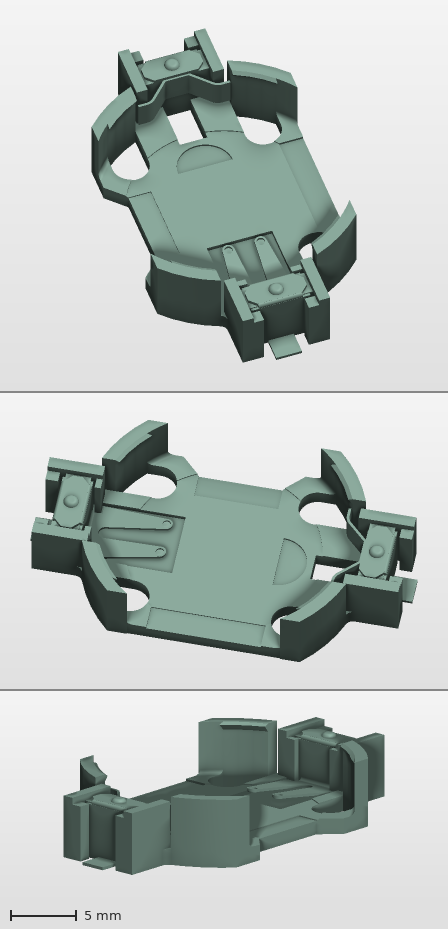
import cadquery as cq
import math

length = 29.7
width = 16.1
height = 5.4

rim_top = 1.25
floor_top = 1.15
ledge_top = 1.07
spring_pocket_x = 3.5
spring_pocket_floor = 0.83
polarity_mark_floor = 1.0
cell_radius = 7.52
back_edge_y = 8.0
front_edge_y = -6.57
front_foot_x = 4.75
front_ledge_half = 3.27
front_ledge_y = -4.75
back_ledge_half = 4.45
back_ledge_y = 6.03
polarity_mark_x = -4.22
polarity_mark_radius = 2.2

wall_inner_radius = 10.0
wall_outer_radius = 11.0
wall_end_y = 3.9
wall_foot_fillet = 0.35
lip_depth = 0.3
lip_ridge_drop = 0.18
lip_height = 0.62

window_radius = 1.45
window_tip_x = 4.75
window_y = wall_end_y + window_radius

housing_outer_x = 14.25
housing_inner_x = 9.95
arm_outer_y = 3.55
arm_inner_y = 2.65
arm_top = 4.9
block_outer_x = 12.8
block_inner_x = 10.85
block_top = 4.37
hook_inner_y = 1.8
outer_hook_x = 13.28
inner_hook_x = 10.43
gusset_x = 10.85

sheet = 0.2
bend_radius = 0.27
cap_top = block_top + bend_radius
cap_half_width = 2.38
cap_chamfer = 0.6
leg_top = 4.28
tab_width = 2.08
tab_thickness = 0.25
rivet_x = 11.88
rivet_radius = 0.6
rivet_flat_radius = 0.2
rivet_dome_radius = 0.35
rivet_height = 0.27
outlet_inner_x = -6.92
outlet_width = 2.23

leaf_tip_x = 4.72
leaf_tip_y = 1.3
leaf_tip_radius = 0.48
leaf_tip_top = 1.85
leaf_root_x = 9.8
leaf_root_top = 1.07
leaf_bend_radius = 0.25
leaf_root_half = 2.4
leaf_neck_half = 1.75
leaf_slot_end_x = 9.27
leaf_slot_radius = 0.5
dimple_radius = 0.33
dimple_wall = 0.1
dimple_depth = 0.2

strip_thickness = 0.15
wing_bottom = 2.25
wing_end_y = 3.7
wing_x = -9.05
wing_bend_y = 3.03
wing_bend_radius = 0.9
wing_bend_angle = math.radians(46)


def block(x0, x1, y0, y1, z0, z1):
    """Axis-aligned box between two opposite corners."""
    return cq.Workplane("XY").box(x1 - x0, y1 - y0, z1 - z0, centered=False).translate((x0, y0, z0))


def cylinder(radius, z0, z1, x=0.0, y=0.0):
    return cq.Workplane("XY", origin=(x, y, z0)).circle(radius).extrude(z1 - z0)


def mirrored_y(shape):
    return shape.union(shape.mirror("XZ"))


def four_corners(shape):
    """Copy a shape from the +X +Y corner to all four corners."""
    return mirrored_y(shape.union(shape.mirror("YZ")))


def make_base():
    """Round floor trimmed to straight edges, extended to both end blocks."""
    base = cylinder(wall_outer_radius, 0, rim_top)
    base = base.intersect(block(-length, length, -width / 2, back_edge_y, 0, rim_top))
    relief_depth = front_edge_y + width / 2
    front_relief = (
        cq.Workplane("XY")
        .polyline([
            (-front_foot_x, -width / 2),
            (front_foot_x, -width / 2),
            (front_foot_x - relief_depth, front_edge_y),
            (relief_depth - front_foot_x, front_edge_y),
        ])
        .close()
        .extrude(rim_top)
    )
    link = block(-block_inner_x, block_inner_x, -arm_outer_y, arm_outer_y, 0, rim_top)
    return base.cut(front_relief).union(link)


def make_wall():
    """One corner wall with its foot fillet, in the +X +Y corner."""
    corner = block(0, length, wall_end_y, width / 2, 0, height)
    half_section = (
        cq.Workplane("XZ")
        .moveTo(wall_outer_radius, 0)
        .lineTo(wall_outer_radius, height)
        .lineTo(wall_inner_radius, height)
        .lineTo(wall_inner_radius, rim_top + wall_foot_fillet)
        .radiusArc((wall_inner_radius - wall_foot_fillet, rim_top), wall_foot_fillet)
        .lineTo(wall_inner_radius - wall_foot_fillet, 0)
        .close()
    )
    return half_section.revolve(360, (0, 0, 0), (0, 1, 0)).intersect(corner)


def make_lip():
    """Snap lip above a corner window, on the inner face of the wall."""
    lip = (
        cq.Workplane("XZ")
        .polyline([
            (wall_inner_radius, height),
            (wall_inner_radius - lip_depth, height - lip_ridge_drop),
            (wall_inner_radius, height - lip_height),
        ])
        .close()
        .revolve(360, (0, 0, 0), (0, 1, 0))
    )
    return lip.intersect(block(0, length, wall_end_y, wall_end_y + 2 * window_radius, 0, height))


def make_window():
    """Slot with one round end, reaching out to the inner face of the wall."""
    centre_x = window_tip_x + window_radius
    slot = cylinder(window_radius, 0, height, centre_x, window_y).union(
        block(centre_x, length, wall_end_y, wall_end_y + 2 * window_radius, 0, height)
    )
    return slot.intersect(cylinder(wall_inner_radius, 0, height))


def make_recesses():
    """Shallow steps in the floor, and the opening under the side spring."""
    cell_seat = cylinder(cell_radius, floor_top, rim_top)
    front_ledge = block(-front_ledge_half, front_ledge_half, -width, front_ledge_y, ledge_top, rim_top)
    back_ledge = block(-back_ledge_half, back_ledge_half, back_ledge_y, width, ledge_top, rim_top)
    half_disc = cylinder(polarity_mark_radius, polarity_mark_floor, rim_top, polarity_mark_x).intersect(
        block(-length, polarity_mark_x, -width, width, 0, rim_top)
    )
    spring_pocket = block(spring_pocket_x, block_inner_x, -arm_inner_y, arm_inner_y, spring_pocket_floor, rim_top)
    outlet = block(-block_inner_x, outlet_inner_x, -outlet_width / 2, outlet_width / 2, 0, rim_top)
    return cell_seat.union(front_ledge).union(back_ledge).union(half_disc).union(spring_pocket).union(outlet)


def make_housing():
    """Terminal housing at the +X end: two arms, a block and retaining hooks."""
    arm = block(housing_inner_x, housing_outer_x, arm_inner_y, arm_outer_y, 0, arm_top)
    hook = block(outer_hook_x, housing_outer_x, hook_inner_y, arm_inner_y, 0, block_top)
    gusset_run = gusset_x - math.sqrt(wall_outer_radius**2 - wall_end_y**2)
    gusset_rise = wall_end_y - arm_outer_y
    gusset_radius = (gusset_run**2 + gusset_rise**2) / (2 * gusset_rise)
    gusset = block(housing_inner_x, gusset_x, arm_outer_y, wall_end_y, 0, rim_top).cut(
        cylinder(gusset_radius, 0, rim_top, gusset_x, arm_outer_y + gusset_radius)
    )
    core = block(block_inner_x, block_outer_x, -arm_inner_y, arm_inner_y, 0, block_top)
    return mirrored_y(arm.union(hook).union(gusset)).union(core)


def make_bend(centre_x):
    """Rounded fold that joins the flat top of a cap to a leg."""
    half_width = cap_half_width - cap_chamfer
    return cq.Workplane("XZ", origin=(centre_x, 0, block_top)).circle(bend_radius).extrude(half_width, both=True)


def make_terminal():
    """Riveted cap, outer leg and solder tab at the +X end."""
    cap = (
        block(block_inner_x, block_outer_x, -cap_half_width, cap_half_width, block_top, cap_top)
        .edges("|Z")
        .chamfer(cap_chamfer)
    )
    leg_x = block_outer_x + sheet
    leg = block(block_outer_x, leg_x, -cap_half_width, cap_half_width, 0, leg_top)
    bend = make_bend(leg_x - bend_radius)
    tab = block(block_outer_x, length / 2, -tab_width / 2, tab_width / 2, 0, tab_thickness)
    rivet = (
        cq.Workplane("XZ", origin=(rivet_x, 0, cap_top))
        .lineTo(rivet_radius, 0)
        .radiusArc((rivet_flat_radius, rivet_height), -rivet_dome_radius)
        .lineTo(0, rivet_height)
        .close()
        .revolve(360, (0, 0, 0), (0, 1, 0))
    )
    return cap.union(leg).union(bend).union(tab).union(rivet)


def make_leaf_spring():
    """Forked leaf rising from the pocket, with its leg held by two hooks."""
    leg_x = block_inner_x - sheet
    outline = (
        cq.Workplane("XY")
        .moveTo(leg_x, leaf_neck_half)
        .lineTo(leaf_root_x, leaf_neck_half)
        .lineTo(leaf_root_x, leaf_root_half)
        .lineTo(leaf_tip_x, leaf_tip_y + leaf_tip_radius)
        .threePointArc((leaf_tip_x - leaf_tip_radius, leaf_tip_y), (leaf_tip_x, leaf_tip_y - leaf_tip_radius))
        .lineTo(leaf_slot_end_x, leaf_slot_radius)
        .threePointArc((leaf_slot_end_x + leaf_slot_radius, 0), (leaf_slot_end_x, -leaf_slot_radius))
        .lineTo(leaf_tip_x, leaf_tip_radius - leaf_tip_y)
        .threePointArc((leaf_tip_x - leaf_tip_radius, -leaf_tip_y), (leaf_tip_x, -leaf_tip_y - leaf_tip_radius))
        .lineTo(leaf_root_x, -leaf_root_half)
        .lineTo(leaf_root_x, -leaf_neck_half)
        .lineTo(leg_x, -leaf_neck_half)
        .close()
        .extrude(height)
    )
    leaf_bend_x = leg_x - leaf_bend_radius
    tip_x = leaf_tip_x - leaf_tip_radius
    side = (
        cq.Workplane("XZ")
        .moveTo(tip_x, leaf_tip_top)
        .lineTo(leaf_bend_x, leaf_root_top)
        .radiusArc((leg_x, leaf_root_top + leaf_bend_radius), -leaf_bend_radius)
        .lineTo(leg_x, leaf_root_top - sheet)
        .lineTo(leaf_bend_x, leaf_root_top - sheet)
        .lineTo(tip_x, leaf_tip_top - sheet)
        .close()
        .extrude(width / 2, both=True)
    )
    leg = block(leg_x, block_inner_x, -cap_half_width, cap_half_width, spring_pocket_floor, leg_top)
    bend = make_bend(leg_x + bend_radius)
    dimple_floor = leaf_tip_top - dimple_depth
    cup = cylinder(dimple_radius + dimple_wall, dimple_floor - dimple_wall, leaf_tip_top - sheet,
                   leaf_tip_x, leaf_tip_y)
    hollow = cylinder(dimple_radius, dimple_floor, leaf_tip_top, leaf_tip_x, leaf_tip_y)
    hook = block(housing_inner_x, inner_hook_x, hook_inner_y, arm_inner_y, 0, block_top)
    leaf = outline.intersect(side).union(mirrored_y(cup)).cut(mirrored_y(hollow))
    return leaf.union(leg).union(bend).union(mirrored_y(hook))


def make_side_spring():
    """Two bent wings joined by a strip on the inner face of the -X block."""
    centre_x = wing_x - wing_bend_radius

    def on_bend(radius, angle):
        return (centre_x + radius * math.cos(angle), wing_bend_y - radius * math.sin(angle))

    def at_block(radius):
        x, y = on_bend(radius, wing_bend_angle)
        return (-block_inner_x, y - (x + block_inner_x) / math.tan(wing_bend_angle))

    inner = wing_bend_radius - sheet / 2
    outer = wing_bend_radius + sheet / 2
    wing = (
        cq.Workplane("XY", origin=(0, 0, wing_bottom))
        .moveTo(centre_x + inner, wing_end_y)
        .lineTo(centre_x + outer, wing_end_y)
        .lineTo(*on_bend(outer, 0))
        .threePointArc(on_bend(outer, wing_bend_angle / 2), on_bend(outer, wing_bend_angle))
        .lineTo(*at_block(outer))
        .lineTo(*at_block(inner))
        .lineTo(*on_bend(inner, wing_bend_angle))
        .threePointArc(on_bend(inner, wing_bend_angle / 2), on_bend(inner, 0))
        .close()
        .extrude(block_top - wing_bottom)
    )
    strip_half = at_block(inner)[1]
    strip = block(-block_inner_x, strip_thickness - block_inner_x, -strip_half, strip_half, wing_bottom, block_top)
    return mirrored_y(wing).union(strip)


back_trim = block(-length, length, back_edge_y, width, 0, height).intersect(
    cylinder(wall_inner_radius, 0, height)
)
end_pieces = make_housing().union(make_terminal())

result = (
    make_base()
    .cut(make_recesses())
    .union(four_corners(make_wall()))
    .cut(back_trim)
    .cut(four_corners(make_window()))
    .union(four_corners(make_lip()))
    .union(end_pieces.union(end_pieces.mirror("YZ")))
    .union(make_leaf_spring())
    .union(make_side_spring())
)